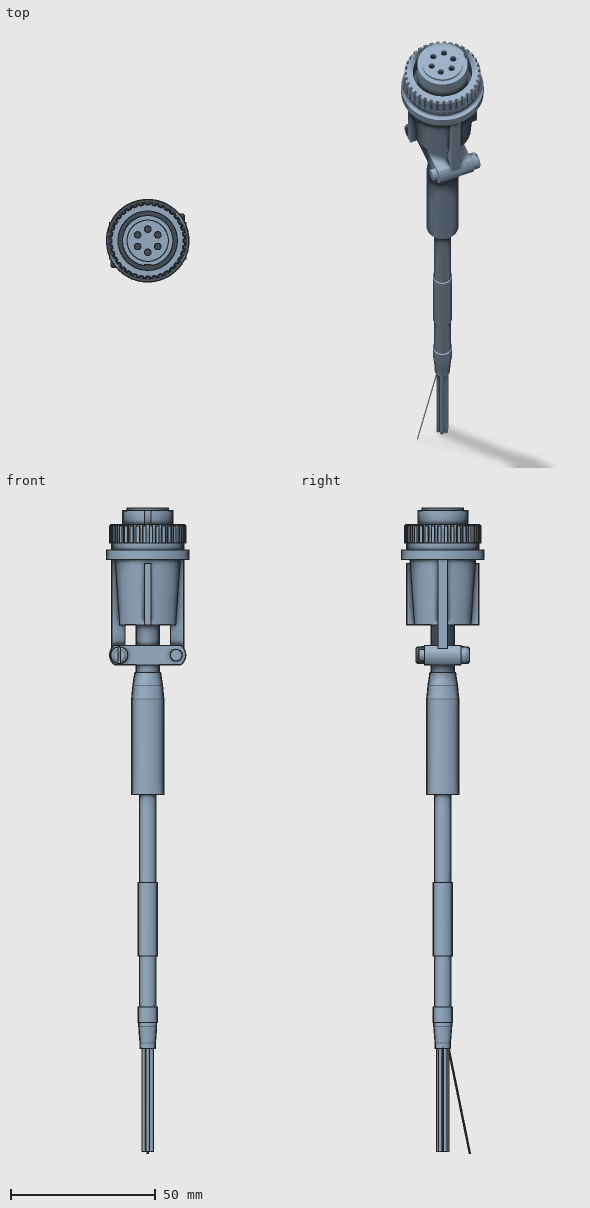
import cadquery as cq

TOP_Z = 222.8

INSERT_RADIUS = 8.7
INSERT_FACE_RADIUS = 7.1
INSERT_FACE_HEIGHT = 1.0
PIN_COUNT = 6
PIN_CIRCLE_RADIUS = 4.0
PIN_HOLE_RADIUS = 1.1
PIN_HOLE_DEPTH = 6.7
KEYWAY_WIDTH = 2.2
KEYWAY_DEPTH = 0.5

NUT_TOP_Z = 217.0
NUT_HEIGHT = 6.2
NUT_RADIUS = 13.1
NUT_CHAMFER = 0.5
NUT_BORE_RADIUS = 10.3
KNURL_COUNT = 36
KNURL_WIDTH = 1.1
KNURL_DEPTH = 1.0

COLLAR_RADIUS = 12.5
FLANGE_RADIUS = 14.3
FLANGE_TOP_Z = 208.3
FLANGE_THICKNESS = 3.3
SHELL_TOP_RADIUS = 11.4
SHELL_BOTTOM_RADIUS = 9.8
SHELL_BOTTOM_Z = 182.5
FIN_WIDTH = 2.2
FIN_TOP_GAP = 1.3

ARM_WIDTH = 3.3
ARM_INNER_X = 7.8
CLAMP_MID_Z = 172.0
CLAMP_HEIGHT = 6.7
CLAMP_HALF_LENGTH = 13.1
CLAMP_END_BULGE = 1.8
CLAMP_DEPTH = 12.7
SCREW_X = 9.8
SCREW_HEAD_RADIUS = 3.0
SCREW_HEAD_HEIGHT = 3.0
SCREW_HEAD_ROUNDING = 1.0
SCREW_SLOT_WIDTH = 1.0
SCREW_SLOT_DEPTH = 1.0
SCREW_TIP_RADIUS = 2.0
SCREW_TIP_LENGTH = 1.8

NECK_RADIUS = 4.0
BOOT_TOP_RADIUS = 4.5
BOOT_TOP_Z = 166.0
BOOT_MID_RADIUS = 5.1
BOOT_MID_Z = 161.5
SLEEVE_RADIUS = 5.5
SLEEVE_TOP_Z = 156.9
SLEEVE_BOTTOM_Z = 124.0
CABLE_RADIUS = 3.0
BAND_RADIUS = 3.3
UPPER_BAND_TOP_Z = 93.5
UPPER_BAND_BOTTOM_Z = 68.2
LOWER_BAND_TOP_Z = 50.5
LOWER_BAND_BOTTOM_Z = 45.2
TAPER_TOP_Z = 44.0
TAPER_TOP_RADIUS = 3.1
TIP_RADIUS = 2.7
TIP_TOP_Z = 38.0
TIP_BOTTOM_Z = 36.3

WIRE_RADIUS = 0.7
WIRE_CIRCLE_RADIUS = 1.5
WIRE_COUNT = PIN_COUNT
WIRE_BOTTOM_Z = 0.7
WIRE_OVERLAP = 1.1
DRAIN_RADIUS = 0.2
DRAIN_TOP_Y = 1.8
DRAIN_BOTTOM_Y = 9.4

NUT_BOTTOM_Z = NUT_TOP_Z - NUT_HEIGHT
FLANGE_BOTTOM_Z = FLANGE_TOP_Z - FLANGE_THICKNESS
CLAMP_FACE_Y = CLAMP_DEPTH / 2


def revolve_outline(points):
    """Turn an outline of (radius, z) points around the Z axis."""
    return cq.Workplane("XZ").polyline(points).close().revolve(360, (0, 0), (0, 1))


def cylinder(radius, bottom_z, top_z):
    return cq.Workplane("XY").workplane(offset=bottom_z).circle(radius).extrude(top_z - bottom_z)


def block(x_range, y_range, z_range):
    """Box spanning the given (low, high) ranges."""
    sizes = [high - low for low, high in (x_range, y_range, z_range)]
    corner = (x_range[0], y_range[0], z_range[0])
    return cq.Workplane("XY").box(*sizes, centered=False).translate(corner)


def half_turn(shape):
    return shape.rotate((0, 0, 0), (0, 0, 1), 180)


def make_nut():
    """Knurled ring with an annular gap around the insert."""
    nut = cylinder(NUT_RADIUS, NUT_BOTTOM_Z, NUT_TOP_Z).faces(">Z").edges().chamfer(NUT_CHAMFER)
    groove = block(
        (NUT_RADIUS - KNURL_DEPTH, NUT_RADIUS + KNURL_DEPTH),
        (-KNURL_WIDTH / 2, KNURL_WIDTH / 2),
        (NUT_BOTTOM_Z, NUT_TOP_Z),
    )
    for index in range(KNURL_COUNT):
        nut = nut.cut(groove.rotate((0, 0, 0), (0, 0, 1), index * 360 / KNURL_COUNT))
    return nut.cut(cylinder(NUT_BORE_RADIUS, NUT_BOTTOM_Z, NUT_TOP_Z))


def make_insert():
    """Core with a raised socket face, pin holes and a keyway on its -Y side."""
    rim_z = TOP_Z - INSERT_FACE_HEIGHT
    insert = cylinder(INSERT_RADIUS, NUT_BOTTOM_Z, rim_z)
    insert = insert.union(cylinder(INSERT_FACE_RADIUS, rim_z, TOP_Z))
    pin_holes = (
        cq.Workplane("XY")
        .workplane(offset=TOP_Z - PIN_HOLE_DEPTH)
        .polarArray(PIN_CIRCLE_RADIUS, 90, 360, PIN_COUNT)
        .circle(PIN_HOLE_RADIUS)
        .extrude(PIN_HOLE_DEPTH)
    )
    keyway = block(
        (-KEYWAY_WIDTH / 2, KEYWAY_WIDTH / 2),
        (-INSERT_RADIUS - KEYWAY_DEPTH, -INSERT_RADIUS + KEYWAY_DEPTH),
        (NUT_BOTTOM_Z, TOP_Z),
    )
    return insert.cut(pin_holes).cut(keyway)


def make_shell():
    """Collar, flange and tapered rear shell."""
    return revolve_outline([
        (0, NUT_BOTTOM_Z),
        (COLLAR_RADIUS, NUT_BOTTOM_Z),
        (COLLAR_RADIUS, FLANGE_TOP_Z),
        (FLANGE_RADIUS, FLANGE_TOP_Z),
        (FLANGE_RADIUS, FLANGE_BOTTOM_Z),
        (SHELL_TOP_RADIUS, FLANGE_BOTTOM_Z),
        (SHELL_BOTTOM_RADIUS, SHELL_BOTTOM_Z),
        (0, SHELL_BOTTOM_Z),
    ])


def make_fins():
    """Straight rib across the shell, standing out on the -Y and +Y sides."""
    return block(
        (-FIN_WIDTH / 2, FIN_WIDTH / 2),
        (-COLLAR_RADIUS, COLLAR_RADIUS),
        (SHELL_BOTTOM_Z, FLANGE_BOTTOM_Z - FIN_TOP_GAP),
    )


def make_arm():
    """Bar on the +X side from the flange down to the clamp."""
    return block(
        (ARM_INNER_X, COLLAR_RADIUS),
        (-ARM_WIDTH / 2, ARM_WIDTH / 2),
        (CLAMP_MID_Z, FLANGE_BOTTOM_Z),
    )


def make_clamp_bar():
    """Bar along X with bulged ends, bored for the cable neck."""
    corner_x = CLAMP_HALF_LENGTH - CLAMP_END_BULGE
    bottom_z = CLAMP_MID_Z - CLAMP_HEIGHT / 2
    top_z = CLAMP_MID_Z + CLAMP_HEIGHT / 2
    bar = (
        cq.Workplane("XZ")
        .moveTo(-corner_x, bottom_z)
        .lineTo(corner_x, bottom_z)
        .threePointArc((CLAMP_HALF_LENGTH, CLAMP_MID_Z), (corner_x, top_z))
        .lineTo(-corner_x, top_z)
        .threePointArc((-CLAMP_HALF_LENGTH, CLAMP_MID_Z), (-corner_x, bottom_z))
        .close()
        .extrude(CLAMP_FACE_Y, both=True)
    )
    return bar.cut(cylinder(NECK_RADIUS, bottom_z, top_z))


def make_screw():
    """Slotted head on the -Y face and screw tip on the +Y face, at the -X end."""
    front = cq.Workplane("XZ", origin=(-SCREW_X, -CLAMP_FACE_Y, CLAMP_MID_Z))
    head = front.circle(SCREW_HEAD_RADIUS).extrude(SCREW_HEAD_HEIGHT)
    head = head.faces("<Y").edges().fillet(SCREW_HEAD_ROUNDING)
    head_y = -CLAMP_FACE_Y - SCREW_HEAD_HEIGHT
    slot = block(
        (-SCREW_X - SCREW_SLOT_WIDTH / 2, -SCREW_X + SCREW_SLOT_WIDTH / 2),
        (head_y, head_y + SCREW_SLOT_DEPTH),
        (CLAMP_MID_Z - SCREW_HEAD_RADIUS, CLAMP_MID_Z + SCREW_HEAD_RADIUS),
    )
    shank_length = CLAMP_DEPTH + SCREW_TIP_LENGTH
    shank = front.circle(SCREW_TIP_RADIUS).extrude(-shank_length)
    return head.cut(slot).union(shank)


def make_connector():
    connector = make_shell().union(make_nut()).union(make_insert())
    connector = connector.union(make_fins()).union(make_clamp_bar())
    for side_part in (make_arm(), make_screw()):
        connector = connector.union(side_part).union(half_turn(side_part))
    return connector


def make_jacket():
    """Neck, boot, sleeve, banded cable and tapered end."""
    return revolve_outline([
        (0, SHELL_BOTTOM_Z),
        (NECK_RADIUS, SHELL_BOTTOM_Z),
        (NECK_RADIUS, BOOT_TOP_Z),
        (BOOT_TOP_RADIUS, BOOT_TOP_Z),
        (BOOT_MID_RADIUS, BOOT_MID_Z),
        (SLEEVE_RADIUS, SLEEVE_TOP_Z),
        (SLEEVE_RADIUS, SLEEVE_BOTTOM_Z),
        (CABLE_RADIUS, SLEEVE_BOTTOM_Z),
        (CABLE_RADIUS, UPPER_BAND_TOP_Z),
        (BAND_RADIUS, UPPER_BAND_TOP_Z),
        (BAND_RADIUS, UPPER_BAND_BOTTOM_Z),
        (CABLE_RADIUS, UPPER_BAND_BOTTOM_Z),
        (CABLE_RADIUS, LOWER_BAND_TOP_Z),
        (BAND_RADIUS, LOWER_BAND_TOP_Z),
        (BAND_RADIUS, LOWER_BAND_BOTTOM_Z),
        (TAPER_TOP_RADIUS, LOWER_BAND_BOTTOM_Z),
        (TAPER_TOP_RADIUS, TAPER_TOP_Z),
        (TIP_RADIUS, TIP_TOP_Z),
        (TIP_RADIUS, TIP_BOTTOM_Z),
        (0, TIP_BOTTOM_Z),
    ])


def make_wires():
    """Ring of straight wires hanging out of the jacket."""
    return (
        cq.Workplane("XY")
        .workplane(offset=WIRE_BOTTOM_Z)
        .polarArray(WIRE_CIRCLE_RADIUS, 90, 360, WIRE_COUNT)
        .circle(WIRE_RADIUS)
        .extrude(TIP_BOTTOM_Z + WIRE_OVERLAP - WIRE_BOTTOM_Z)
    )


def make_drain_wire():
    """Thin bare wire slanting out towards +Y."""
    top_z = TIP_BOTTOM_Z + WIRE_OVERLAP
    path = cq.Workplane("YZ").moveTo(DRAIN_BOTTOM_Y, 0).lineTo(DRAIN_TOP_Y, top_z)
    return cq.Workplane("XY", origin=(0, DRAIN_BOTTOM_Y, 0)).circle(DRAIN_RADIUS).sweep(path)


def make_cable():
    return make_jacket().union(make_wires()).union(make_drain_wire())


connector = make_connector()
cable = make_cable()
result = cq.Compound.makeCompound([connector.val(), cable.val()])